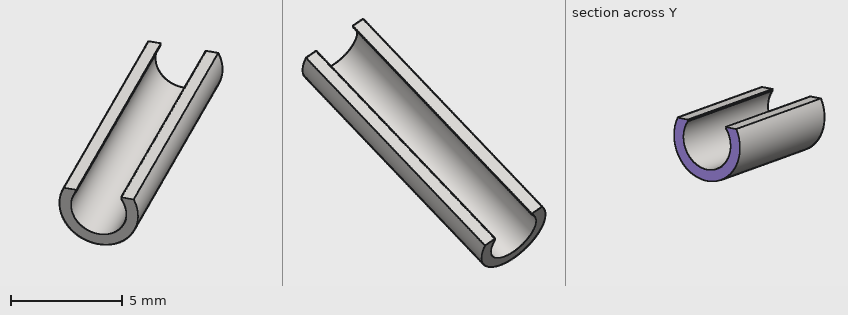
import cadquery as cq

outer_diameter = 3.7
bore_diameter = 2.6
length = 12.8
height = 2.7
lip_gap = 2.1

rim_z = height - outer_diameter / 2
axis_z = 0


def cylinder_along_y(diameter):
    """Full-length cylinder on the Y axis, centred on the origin."""
    return cq.Workplane("XZ").circle(diameter / 2).extrude(length / 2, both=True)


def clearance_box(width, bottom_z):
    """Full-length box that stands on bottom_z and rises past the top of the tube."""
    return (
        cq.Workplane("XY")
        .workplane(offset=bottom_z)
        .rect(width, length)
        .extrude(outer_diameter)
    )


tube = cylinder_along_y(outer_diameter).cut(cylinder_along_y(bore_diameter))

open_tube = tube.cut(clearance_box(outer_diameter, rim_z))

result = open_tube.cut(clearance_box(lip_gap, axis_z))